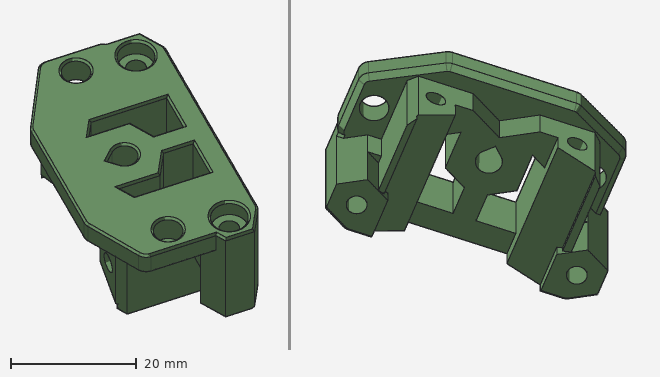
import cadquery as cq
import math

TAN30 = math.tan(math.radians(30))

length = 46.55
height = 18.5
edge_chamfer = 0.35
corner_radius = 2.0

pillar_x = 18.7
pillar_apothem = 4.352
pillar_radius = pillar_apothem / math.cos(math.radians(30))
pillar_y = -pillar_radius
pillar_outer_x = pillar_x + pillar_apothem
pillar_inner_x = pillar_x - pillar_apothem
pillar_shoulder_y = pillar_y - pillar_radius / 2
pillar_tip_y = pillar_y - pillar_radius

flange_thickness = 4.8
flange_under_chamfer = 1.0
flange_front_y = -26.65
flange_front_half_width = 11.1
flange_left_x = pillar_outer_x - length
flange_right_x = 21.4
flange_slope = math.tan(math.radians(29))
flange_round_y = -9.55
flange_root_y = pillar_y

block_half_width = 16.4
block_front_y = -23.15
block_corner_chamfer = 1.4
notch_half_width = 5.7

arch_top_z = -9.95
arch_half_width = 8.7
arch_spring_z = -13.0
arch_leg_x = 15.18
lead_in_z = -17.7
lead_in_x = arch_leg_x + (height + lead_in_z) / TAN30

screw_diameter = 3.3
counterbore_diameter = 6.0
counterbore_depth = 3.0
pin_diameter = 4.7
pin_y = -15.1
pin_half_spacing = 18.5
pin_center_x = (flange_left_x + flange_right_x) / 2
cross_hole_x = 12.0
teardrop_radius = 2.15
teardrop_y = pin_y

slot_inner_x = 1.95
slot_step_x = 6.1
slot_outer_x = arch_half_width
slot_back_y = -4.05
slot_step_y = -9.15
slot_outer_front_y = -17.15


def prism(points, top_z, bottom_z):
    """Vertical prism with a polygonal outline between two heights."""
    return cq.Workplane("XY").workplane(offset=bottom_z).polyline(points).close().extrude(top_z - bottom_z)


def mirrored(points):
    """Close a right-hand half outline with its mirror image across X = 0."""
    return points + [(-x, y) for x, y in reversed(points) if x > 0]


def vertical_hole(x, y, diameter, depth):
    """Cylinder reaching down from the top face."""
    return cq.Workplane("XY").center(x, y).circle(diameter / 2).extrude(-depth)


def make_rear_body():
    """Two full-height pillars joined by a bridge."""
    outline = mirrored([
        (pillar_x, 0),
        (pillar_outer_x, pillar_y + pillar_radius / 2),
        (pillar_outer_x, pillar_shoulder_y),
        (pillar_x, pillar_tip_y),
    ])
    opening = mirrored([
        (pillar_inner_x, 0),
        (pillar_inner_x, pillar_shoulder_y),
        (pillar_x, pillar_tip_y),
    ])
    body = prism(outline, 0, -height).edges("|Z and >Y").fillet(corner_radius)
    return body.cut(prism(opening, arch_top_z, -height))


def make_central_block():
    """Block with a V notch in its front face and an arch running through from front to back."""
    outline = mirrored([
        (block_half_width, 0),
        (block_half_width, block_front_y + block_corner_chamfer),
        (block_half_width - block_corner_chamfer, block_front_y),
        (notch_half_width, block_front_y),
        (0, block_front_y + notch_half_width * TAN30),
    ])
    arch = mirrored([
        (arch_half_width, arch_top_z),
        (arch_half_width, arch_spring_z),
        (arch_leg_x, arch_spring_z - (arch_leg_x - arch_half_width) * TAN30),
        (arch_leg_x, lead_in_z),
        (lead_in_x, -height),
    ])
    arch_cutter = cq.Workplane("XZ").polyline(arch).close().extrude(-block_front_y)
    return prism(outline, 0, -height).cut(arch_cutter)


def make_flange():
    """Plate with sloped front corners, rounded upright edges and a chamfered underside."""
    def front_corner_y(side_x):
        return flange_front_y + (abs(side_x) - flange_front_half_width) * flange_slope

    bulge = -pillar_outer_x - flange_left_x
    round_angle = math.acos(1 - bulge / corner_radius)

    def bulge_point(angle):
        return (
            flange_left_x + corner_radius * (1 - math.cos(angle)),
            flange_round_y + corner_radius * math.sin(angle),
        )

    plate = (
        cq.Workplane("XY")
        .moveTo(-pillar_outer_x, flange_root_y)
        .lineTo(*bulge_point(round_angle))
        .threePointArc(bulge_point(round_angle / 2), bulge_point(0))
        .lineTo(flange_left_x, front_corner_y(flange_left_x))
        .lineTo(-flange_front_half_width, flange_front_y)
        .lineTo(flange_front_half_width, flange_front_y)
        .lineTo(flange_right_x, front_corner_y(flange_right_x))
        .lineTo(flange_right_x, flange_root_y)
        .close()
        .extrude(-flange_thickness)
    )
    plate = plate.edges("|Z").filter(lambda edge: edge.Center().y < pin_y).fillet(corner_radius)
    return plate.faces("<Z").edges("not >Y").chamfer(flange_under_chamfer)


def make_slot(side):
    """Stepped slot beside the centre line; side is -1 for left and 1 for right."""
    points = [
        (slot_inner_x, slot_back_y),
        (slot_outer_x, slot_back_y),
        (slot_outer_x, slot_outer_front_y),
        (slot_step_x, slot_outer_front_y - (slot_outer_x - slot_step_x) * TAN30),
        (slot_step_x, slot_step_y - (slot_step_x - slot_inner_x) * TAN30),
        (slot_inner_x, slot_step_y),
    ]
    return prism([(side * x, y) for x, y in points], 0, -height)


def make_teardrop():
    """Round hole with a right-angled point toward the front."""
    tangent = teardrop_radius * math.sqrt(0.5)
    return (
        cq.Workplane("XY")
        .moveTo(-tangent, teardrop_y - tangent)
        .threePointArc((0, teardrop_y + teardrop_radius), (tangent, teardrop_y - tangent))
        .lineTo(0, teardrop_y - 2 * tangent)
        .close()
        .extrude(-height)
    )


result = make_flange().union(make_rear_body()).union(make_central_block())

for side in (-1, 1):
    cross_hole = (
        cq.Workplane("XZ")
        .center(side * cross_hole_x, arch_top_z)
        .circle(screw_diameter / 2)
        .extrude(-block_front_y)
    )
    result = (
        result.cut(vertical_hole(side * pillar_x, pillar_y, screw_diameter, height))
        .cut(vertical_hole(side * pillar_x, pillar_y, counterbore_diameter, counterbore_depth))
        .cut(vertical_hole(pin_center_x + side * pin_half_spacing, pin_y, pin_diameter, flange_thickness))
        .cut(cross_hole)
        .cut(make_slot(side))
    )
result = result.cut(make_teardrop())

result = result.faces(">Z").edges().chamfer(edge_chamfer)
foot_back_edges = result.faces("<Z").edges().filter(lambda edge: edge.Center().y > pillar_y / 2)
result = foot_back_edges.chamfer(edge_chamfer).solids()